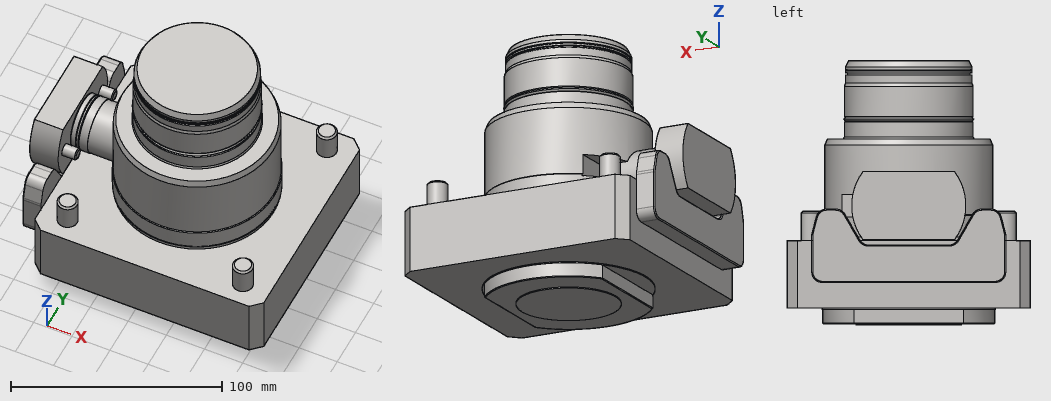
import cadquery as cq
import math


BLOCK_X = 120.0
BLOCK_Y = 115.0
BLOCK_HEIGHT = 32.0
CORNER_CUT_X = 5.4
CORNER_CUT_Y = 5.0

PIN_DIAMETER = 10.0
PIN_HEIGHT = 13.9
PIN_CHAMFER = 1.0
PIN_SPACING = 92.0

OVERALL_HEIGHT = 125.0
RIM_DIAMETER = 82.0
RIM_HEIGHT = 0.5
PLUG_DIAMETER = 81.5
PLUG_WIDTH = 62.9
PLUG_CHAMFER = 0.4
PLUG_DISC_DIAMETER = 50.0
PLUG_DISC_HEIGHT = 0.5

TOWER_HEIGHT = 85.0
BAND_DIAMETER = 80.5
BAND_BOTTOM = 1.8
BAND_TOP = 12.3
BAND_BEVEL = 0.4
FOOT_DIAMETER = 80.0
BODY_DIAMETER = 79.5
BODY_TOP = 48.0
BODY_CHAMFER_RADIAL = 1.2
BODY_CHAMFER_HEIGHT = 3.0
NECK_DIAMETER = 61.0
NECK_FLARE = 1.0
NECK_TOP = 72.9
BEAD_DIAMETER = 61.5
BEAD_Z = 57.4
BEAD_HALF_HEIGHT = 1.0
BEAD_GROOVE = 0.4
CAP_RING_DIAMETER = 60.0
CAP_RING_BOTTOM = 74.4
GROOVE_DIAMETER = 58.0
LOWER_GROOVE = (78.3, 79.2)
UPPER_GROOVE = (80.2, 80.7)
TOP_DIAMETER = 57.0
TOP_CHAMFER_HEIGHT = 3.0

RECESS_BACK_X = -24.0
RECESS_BOTTOM = 11.2
RECESS_TOP = 21.9

KNOB_Z = 16.5
HEAD_LEFT = BLOCK_X / 2 - 135.0
HEAD_THICKNESS = 15.0
HEAD_DIAMETER = 54.0
HEAD_HEIGHT = 32.1
STEM_DIAMETER = 26.9
COLLAR_DIAMETER = 27.4
COLLAR_LENGTH = 8.9
BEAD_RING_DIAMETER = 27.5
BEAD_RINGS = ((0.0, 0.3), (2.7, 3.1), (4.0, 4.6))
KNOB_PIN_DIAMETER = 6.0
KNOB_PIN_LENGTH = 7.2
KNOB_PIN_CHAMFER = 0.5
KNOB_PIN_Y = 20.1

GUARD_THICKNESS = 9.7
GUARD_BOTTOM = -19.8
GUARD_TOP = 14.8
GUARD_HALF_WIDTH = 45.9
GUARD_SHOULDER_Z = 3.0
GUARD_TOP_OUTER = 42.8
GUARD_TOP_INNER = 31.6
NOTCH_BOTTOM = -2.2
NOTCH_WALL_ANGLE = 30.0
GUARD_RADIUS = 5.0
GUARD_CHAMFER = 0.5


def disc(diameter, bottom, height):
    return cq.Workplane("XY").workplane(offset=bottom).circle(diameter / 2).extrude(height)


def rod_along_x(diameter, start, length, y=0.0):
    """Cylinder along +X at knob height."""
    plane = cq.Workplane("YZ", origin=(start, y, KNOB_Z))
    return plane.circle(diameter / 2).extrude(length)


def make_block():
    x_edge = BLOCK_X / 2
    y_edge = BLOCK_Y / 2
    x_cut = x_edge - CORNER_CUT_X
    y_cut = y_edge - CORNER_CUT_Y
    outline = [
        (x_cut, -y_edge), (x_edge, -y_cut), (x_edge, y_cut), (x_cut, y_edge),
        (-x_cut, y_edge), (-x_edge, y_cut), (-x_edge, -y_cut), (-x_cut, -y_edge),
    ]
    block = cq.Workplane("XY").polyline(outline).close().extrude(-BLOCK_HEIGHT)
    pins = (
        cq.Workplane("XY")
        .rect(PIN_SPACING, PIN_SPACING, forConstruction=True)
        .vertices()
        .circle(PIN_DIAMETER / 2)
        .extrude(PIN_HEIGHT)
        .faces(">Z")
        .chamfer(PIN_CHAMFER)
    )
    return block.union(pins)


def make_plug():
    part_bottom = TOWER_HEIGHT - OVERALL_HEIGHT
    rim_bottom = -BLOCK_HEIGHT - RIM_HEIGHT
    plug_bottom = part_bottom + PLUG_DISC_HEIGHT
    plug_height = rim_bottom - plug_bottom
    slab = (
        cq.Workplane("XY")
        .workplane(offset=plug_bottom)
        .rect(PLUG_WIDTH, PLUG_DIAMETER)
        .extrude(plug_height)
    )
    plug = disc(PLUG_DIAMETER, plug_bottom, plug_height).intersect(slab)
    plug = plug.faces("<Z").chamfer(PLUG_CHAMFER)
    rim = disc(RIM_DIAMETER, rim_bottom, RIM_HEIGHT)
    bottom_disc = disc(PLUG_DISC_DIAMETER, part_bottom, PLUG_DISC_HEIGHT)
    return rim.union(plug).union(bottom_disc)


def make_tower():
    bead_bottom = BEAD_Z - BEAD_HALF_HEIGHT
    bead_top = BEAD_Z + BEAD_HALF_HEIGHT
    corners = [
        (FOOT_DIAMETER, 0),
        (BODY_DIAMETER, BAND_BOTTOM),
        (BAND_DIAMETER, BAND_BOTTOM),
        (BAND_DIAMETER, BAND_TOP - BAND_BEVEL),
        (BODY_DIAMETER, BAND_TOP),
        (BODY_DIAMETER, BODY_TOP - BODY_CHAMFER_HEIGHT),
        (BODY_DIAMETER - 2 * BODY_CHAMFER_RADIAL, BODY_TOP),
        (NECK_DIAMETER + NECK_FLARE, BODY_TOP),
        (NECK_DIAMETER, BODY_TOP + NECK_FLARE),
        (NECK_DIAMETER, bead_bottom - BEAD_GROOVE),
        (CAP_RING_DIAMETER, bead_bottom),
        (BEAD_DIAMETER, BEAD_Z),
        (CAP_RING_DIAMETER, bead_top),
        (NECK_DIAMETER, bead_top + BEAD_GROOVE),
        (NECK_DIAMETER, NECK_TOP),
        (CAP_RING_DIAMETER, CAP_RING_BOTTOM),
    ]
    for groove_bottom, groove_top in (LOWER_GROOVE, UPPER_GROOVE):
        corners += [
            (CAP_RING_DIAMETER, groove_bottom),
            (GROOVE_DIAMETER, groove_bottom),
            (GROOVE_DIAMETER, groove_top),
            (CAP_RING_DIAMETER, groove_top),
        ]
    corners += [
        (CAP_RING_DIAMETER, TOWER_HEIGHT - TOP_CHAMFER_HEIGHT),
        (TOP_DIAMETER, TOWER_HEIGHT),
    ]
    profile = [(0, 0)] + [(diameter / 2, z) for diameter, z in corners] + [(0, TOWER_HEIGHT)]
    return cq.Workplane("XZ").polyline(profile).close().revolve(360, (0, 0), (0, 1))


def make_recess():
    """Cutter from the stem axis out past the +Y side of the body."""
    reach = BAND_DIAMETER / 2
    cutter = cq.Workplane("XY").box(reach, reach, RECESS_TOP - RECESS_BOTTOM, centered=False)
    return cutter.translate((RECESS_BACK_X - reach, 0, RECESS_BOTTOM))


def make_knob():
    head_right = HEAD_LEFT + HEAD_THICKNESS
    flats = (
        cq.Workplane("YZ", origin=(HEAD_LEFT, 0, KNOB_Z))
        .rect(HEAD_DIAMETER, HEAD_HEIGHT)
        .extrude(HEAD_THICKNESS)
    )
    knob = rod_along_x(HEAD_DIAMETER, HEAD_LEFT, HEAD_THICKNESS).intersect(flats)
    knob = knob.union(rod_along_x(STEM_DIAMETER, head_right, -head_right))
    knob = knob.union(rod_along_x(COLLAR_DIAMETER, head_right, COLLAR_LENGTH))
    for start, end in BEAD_RINGS:
        knob = knob.union(rod_along_x(BEAD_RING_DIAMETER, head_right + start, end - start))
    for y in (-KNOB_PIN_Y, KNOB_PIN_Y):
        pin = rod_along_x(KNOB_PIN_DIAMETER, head_right, KNOB_PIN_LENGTH, y)
        knob = knob.union(pin.faces(">X").chamfer(KNOB_PIN_CHAMFER))
    return knob


def make_guard():
    notch_depth = GUARD_TOP - NOTCH_BOTTOM
    notch_floor_y = GUARD_TOP_INNER - notch_depth * math.tan(math.radians(NOTCH_WALL_ANGLE))
    half = [
        (GUARD_HALF_WIDTH, GUARD_BOTTOM),
        (GUARD_HALF_WIDTH, GUARD_SHOULDER_Z),
        (GUARD_TOP_OUTER, GUARD_TOP),
        (GUARD_TOP_INNER, GUARD_TOP),
        (notch_floor_y, NOTCH_BOTTOM),
    ]
    mirrored = [(-y, z) for y, z in reversed(half)]
    return (
        cq.Workplane("YZ", origin=(-BLOCK_X / 2, 0, 0))
        .polyline(half + mirrored)
        .close()
        .extrude(-GUARD_THICKNESS)
        .edges("|X")
        .fillet(GUARD_RADIUS)
        .faces("<X")
        .chamfer(GUARD_CHAMFER)
    )


tower = make_tower().cut(make_recess())
result = make_block()
for feature in (make_plug(), tower, make_knob(), make_guard()):
    result = result.union(feature)